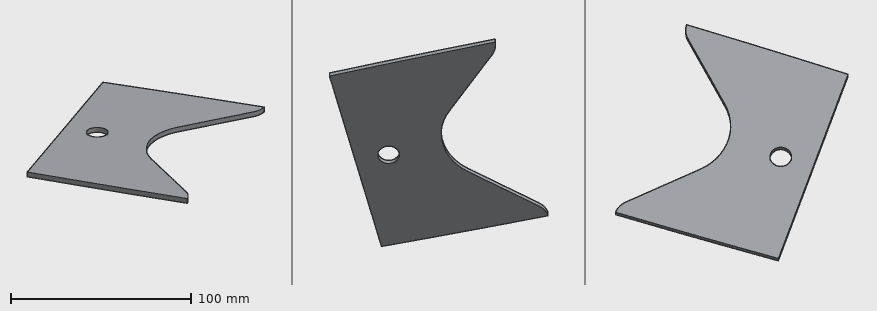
import cadquery as cq
import math

LENGTH = 95.0
BACK_WIDTH = 122.0
FRONT_WIDTH = 124.24
SIDE_RADIUS = 5000.0
THICKNESS = 3.0

NOTCH_BOTTOM_X = 50.0
NOTCH_RADIUS = 30.5
FLANK_ANGLE = math.radians(45)
TIP_RADIUS = 12.0

HOLE_DIAMETER = 12.0
HOLE_X = 19.0

back_y = BACK_WIDTH / 2
front_y = FRONT_WIDTH / 2

notch_center_x = NOTCH_BOTTOM_X + NOTCH_RADIUS
floor_end_x = notch_center_x - NOTCH_RADIUS * math.sin(FLANK_ANGLE)
floor_end_y = NOTCH_RADIUS * math.cos(FLANK_ANGLE)

along_x, along_y = math.cos(FLANK_ANGLE), math.sin(FLANK_ANGLE)
inward_x, inward_y = -along_y, along_x

corner_dx = LENGTH - floor_end_x
corner_dy = front_y - floor_end_y
corner_along = corner_dx * along_x + corner_dy * along_y
corner_inward = corner_dx * inward_x + corner_dy * inward_y
tip_sweep = math.acos(1 - corner_inward / TIP_RADIUS)
flank_length = corner_along - TIP_RADIUS * math.sin(tip_sweep)


def tip_arc_point(angle):
    """Point on the +Y tip arc, turned by `angle` from the end of the flank."""
    along = flank_length + TIP_RADIUS * math.sin(angle)
    inward = TIP_RADIUS * (1 - math.cos(angle))
    x = floor_end_x + along * along_x + inward * inward_x
    y = floor_end_y + along * along_y + inward * inward_y
    return x, y


def mirrored(point):
    """The same point on the -Y side of the centre line."""
    return point[0], -point[1]


def make_plate():
    """Flat plate with slightly bowed, tapered sides and a rounded V notch in its front end."""
    back_corner = (0, back_y)
    front_corner = (LENGTH, front_y)
    tip_middle = tip_arc_point(tip_sweep / 2)
    flank_end = tip_arc_point(0)
    floor_end = (floor_end_x, floor_end_y)
    side_bow = SIDE_RADIUS - math.sqrt(SIDE_RADIUS**2 - math.dist(back_corner, front_corner) ** 2 / 4)
    return (
        cq.Workplane("XY")
        .moveTo(*mirrored(back_corner))
        .sagittaArc(mirrored(front_corner), -side_bow)
        .threePointArc(mirrored(tip_middle), mirrored(flank_end))
        .lineTo(*mirrored(floor_end))
        .threePointArc((NOTCH_BOTTOM_X, 0), floor_end)
        .lineTo(*flank_end)
        .threePointArc(tip_middle, front_corner)
        .sagittaArc(back_corner, -side_bow)
        .close()
        .extrude(THICKNESS)
    )


def make_hole():
    """Cylinder for the round through hole on the centre line."""
    return cq.Workplane("XY").center(HOLE_X, 0).circle(HOLE_DIAMETER / 2).extrude(THICKNESS)


result = make_plate().cut(make_hole())